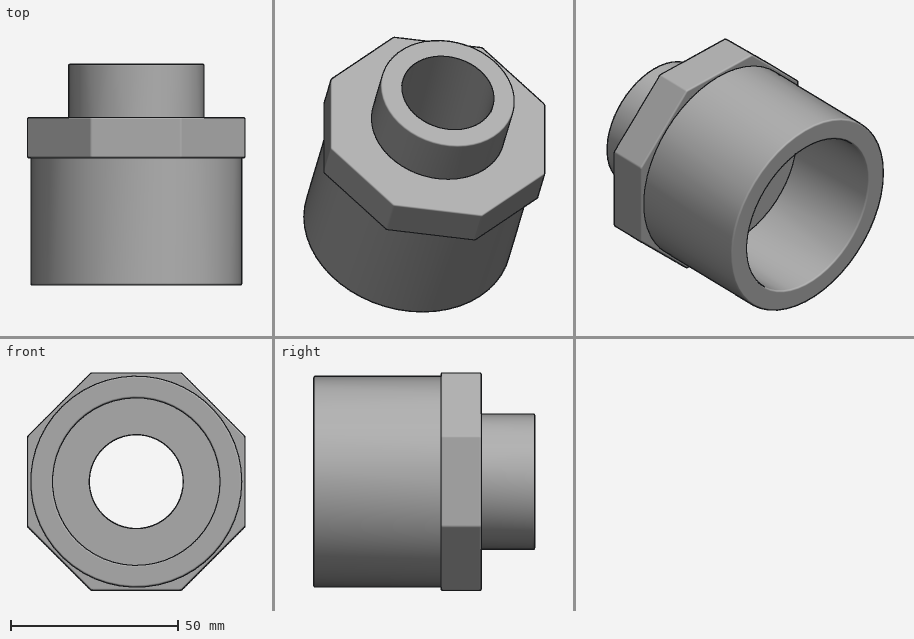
import cadquery as cq
import math

total_length = 66.0
socket_length = 38.0
collar_thickness = 12.0
socket_depth = 31.0

socket_outer_diameter = 63.0
socket_bore_diameter = 50.0
spigot_diameter = 40.5
bore_diameter = 28.0
collar_across_flats = 65.0
collar_sides = 8

collar_corner_radius = 1.0
collar_rim_radius = 0.5
end_edge_radius = 0.5
mouth_edge_radius = 0.5

mouth_y = -total_length / 2
collar_y = mouth_y + socket_length
spigot_y = collar_y + collar_thickness
spigot_length = total_length - socket_length - collar_thickness


def section_plane(y):
    """Sketch plane across the axis at y, extruding toward +Y."""
    return cq.Workplane(cq.Plane(origin=(0, y, 0), xDir=(1, 0, 0), normal=(0, 1, 0)))


def cylinder(y, diameter, length):
    return section_plane(y).circle(diameter / 2).extrude(length)


def collar():
    """Octagonal spanner collar with flats on X and Z and all edges rounded."""
    corner_angle = math.pi / collar_sides
    across_corners = collar_across_flats / math.cos(corner_angle)
    prism = section_plane(collar_y).polygon(collar_sides, across_corners).extrude(collar_thickness)
    prism = prism.rotate((0, 0, 0), (0, 1, 0), math.degrees(corner_angle))
    prism = prism.edges("|Y").fillet(collar_corner_radius)
    return prism.faces("<Y or >Y").edges().fillet(collar_rim_radius)


socket_body = cylinder(mouth_y, socket_outer_diameter, socket_length).faces("<Y").fillet(end_edge_radius)
spigot = cylinder(spigot_y, spigot_diameter, spigot_length).faces(">Y").fillet(end_edge_radius)

body = socket_body.union(collar()).union(spigot)

socket_recess = cylinder(mouth_y, socket_bore_diameter, socket_depth)
through_bore = cylinder(mouth_y, bore_diameter, total_length)
body = body.cut(socket_recess).cut(through_bore)
mouth_edge = body.faces("<Y").edges(cq.selectors.RadiusNthSelector(0))
result = mouth_edge.fillet(mouth_edge_radius)